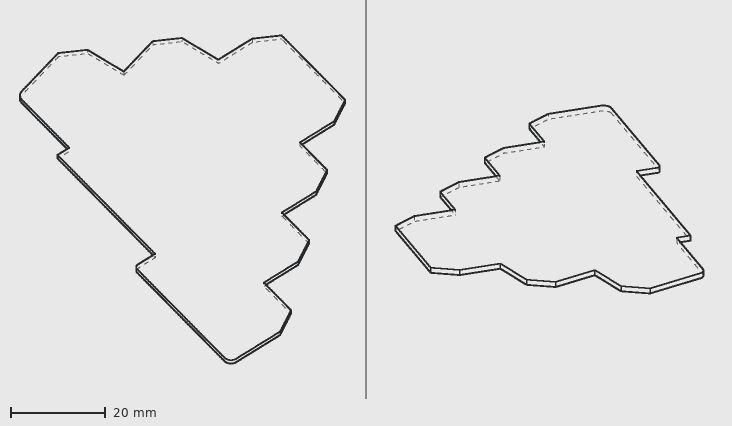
import cadquery as cq
import math

length = 87.5
width = 62.5
thickness = 1.2

bevel_length = 6.2
bevel_angle = math.radians(60)
bevel_x = bevel_length * math.cos(bevel_angle)
bevel_y = bevel_length * math.sin(bevel_angle)

right_step_count = 3
right_step_run = 12.4
right_step_drop = 14.5
crown_drop = 14.5
crown_right = length - right_step_count * right_step_run

left_step_count = 2
left_tilt = math.radians(15)
left_tread = 9.6
left_riser = 10.15
tread_x = left_tread * math.cos(left_tilt)
tread_y = left_tread * math.sin(left_tilt)
riser_x = left_riser * math.sin(left_tilt)
riser_y = left_riser * math.cos(left_tilt)
crown_left = left_step_count * (tread_x + bevel_x) - (left_step_count - 1) * riser_x

left_base_y = 8.7
middle_base_y = 5.5
middle_left = 21.35
foot_left = 54.9
outer_corner_radius = 1.75
foot_inner_radius = 0.9


def right_staircase():
    """Points from the top of the crown down to the last right-hand bevel."""
    points = []
    for step in range(right_step_count + 1):
        wall = crown_right + step * right_step_run
        top = width - step * right_step_drop
        if step > 0:
            points.append((wall - right_step_run, top))
        points.append((wall - bevel_x, top))
        points.append((wall, top - bevel_y))
    return points


def left_staircase():
    """Points from the inner corner under the crown down to the leftmost tip."""
    x = crown_left
    y = width - crown_drop
    points = []
    for _ in range(left_step_count):
        points.append((x, y))
        x -= tread_x
        y -= tread_y
        points.append((x, y))
        x -= bevel_x
        y -= bevel_y
        points.append((x, y))
        x += riser_x
        y -= riser_y
    return points


left_steps = left_staircase()
tip_x, tip_y = left_steps[-1]
left_base_x = tip_x + (tip_y - left_base_y) * math.tan(left_tilt)

crown_left_bevel = [
    (crown_left, width - bevel_y),
    (crown_left + bevel_x, width),
]
lower_edge = [
    (length, 0),
    (foot_left, 0),
    (foot_left, middle_base_y),
    (middle_left, middle_base_y),
    (middle_left, left_base_y),
    (left_base_x, left_base_y),
]
outline = crown_left_bevel + right_staircase() + lower_edge + left_steps[::-1]

plate = cq.Workplane("XY").polyline(outline).close().extrude(thickness)


def round_corner(body, x, y, radius):
    """Fillet the upright edge standing at (x, y)."""
    corner = cq.selectors.NearestToPointSelector((x, y, thickness / 2))
    return body.edges("|Z").edges(corner).fillet(radius)


plate = round_corner(plate, length, 0, outer_corner_radius)
plate = round_corner(plate, left_base_x, left_base_y, outer_corner_radius)
result = round_corner(plate, foot_left, 0, foot_inner_radius)